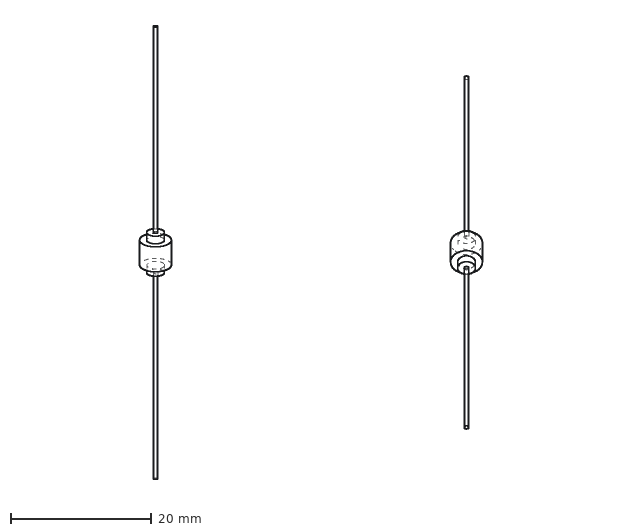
import cadquery as cq

overall_length = 71.37
body_diameter = 4.57

body_length = 3.94
collar_diameter = 2.54
collar_length = 1.205
lead_diameter = 0.64

body_top = body_length / 2
collar_top = body_top + collar_length
lead_top = overall_length / 2


def stepped_half_profile():
    """Half section on the -X side of the Z axis, as a closed outline symmetric about the mid-plane."""
    steps = [
        (lead_diameter / 2, lead_top),
        (collar_diameter / 2, collar_top),
        (body_diameter / 2, body_top),
    ]
    upper_outline = []
    inner_radius = 0.0
    for radius, height in steps:
        upper_outline.append((-inner_radius, height))
        upper_outline.append((-radius, height))
        inner_radius = radius
    lower_outline = [(x, -z) for x, z in reversed(upper_outline)]
    return cq.Workplane("XZ").polyline(upper_outline + lower_outline).close()


result = stepped_half_profile().revolve(360, (0, 0, 0), (0, 1, 0))